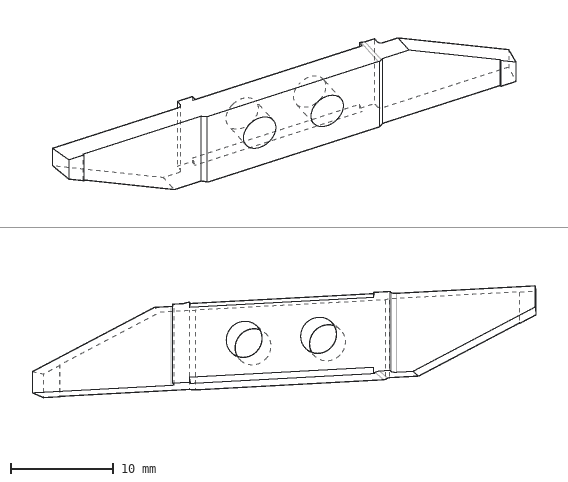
import cadquery as cq

length = 50.5
thickness = 3.6
height = 8.0
half_length = length / 2
half_height = height / 2
left_x = -thickness / 2
right_x = thickness / 2

shoulder_y = 10.9
shoulder_depth = 0.95
shoulder_fillet = 0.4
body_bevel_start_y = 9.55
body_bevel_end_y = 10.05
arm_relief = 0.35
tip_land_start_y = 23.1
tip_land_relief = 0.2
tip_setback = 0.5

tip_height = 2.1
taper_start_y = 13.0
step_depth = 0.1
step_start_y = 9.4
step_end_y = 9.85

chamfer_half_length = 9.25
chamfer_width = 0.55
chamfer_height = 0.5

hole_diameter = 3.6
hole_spacing = 7.45


def plan_body():
    """Prism along Z, outlined from above and mirrored about Y = 0."""
    arm_left_x = left_x + shoulder_depth
    arm_right_x = right_x - arm_relief
    land_x = right_x - tip_land_relief
    half_outline = [
        (left_x, shoulder_y),
        (arm_left_x, shoulder_y),
        (arm_left_x, half_length),
        (land_x, half_length - tip_setback),
        (land_x, tip_land_start_y),
        (arm_right_x, tip_land_start_y),
        (arm_right_x, body_bevel_end_y),
        (right_x, body_bevel_start_y),
    ]
    mirrored = [(x, -y) for x, y in reversed(half_outline)]
    body = (
        cq.Workplane("XY", origin=(0, 0, -half_height))
        .polyline(half_outline + mirrored)
        .close()
        .extrude(height)
    )
    for side in (1, -1):
        corner = (arm_left_x, side * shoulder_y, 0)
        body = body.edges(cq.selectors.NearestToPointSelector(corner)).fillet(shoulder_fillet)
    return body


def side_envelope():
    """Prism along X with the tapered side outline."""
    half_outline = [
        (half_length, -half_height),
        (half_length, -half_height + tip_height),
        (taper_start_y, half_height - step_depth),
        (step_end_y, half_height - step_depth),
        (step_start_y, half_height),
    ]
    turned = [(-y, -z) for y, z in half_outline]
    return (
        cq.Workplane("YZ", origin=(left_x, 0, 0))
        .polyline(half_outline + turned)
        .close()
        .extrude(thickness)
    )


def edge_chamfer(side):
    """Triangular cutter for the upper (1) or lower (-1) edge of the -X face."""
    edge_z = side * half_height
    return (
        cq.Workplane("XZ")
        .moveTo(left_x, edge_z)
        .lineTo(left_x + chamfer_width, edge_z)
        .lineTo(left_x, edge_z - side * chamfer_height)
        .close()
        .extrude(chamfer_half_length, both=True)
    )


def mounting_holes():
    """Pair of cylinders that pass through the body along X."""
    return (
        cq.Workplane("YZ", origin=(left_x, 0, 0))
        .pushPoints([(-hole_spacing / 2, 0), (hole_spacing / 2, 0)])
        .circle(hole_diameter / 2)
        .extrude(thickness)
    )


result = plan_body().intersect(side_envelope()).cut(mounting_holes())
for edge_side in (1, -1):
    result = result.cut(edge_chamfer(edge_side))